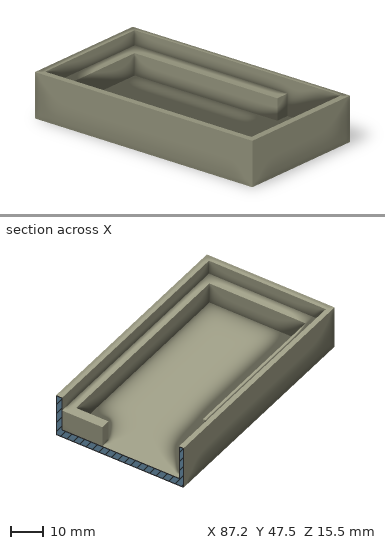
import cadquery as cq

LENGTH = 87.25
WIDTH = 47.5
HEIGHT = 15.5

WALL = 2.3
BACK_WALL = 1.75
FLOOR = 3.0

LEDGE_HEIGHT = 7.5
LEFT_LEDGE_WIDTH = 4.0
BACK_LEDGE_WIDTH = 4.9
BACK_LEDGE_LENGTH = 61.25
FRONT_LEDGE_WIDTH = 2.9

FINGER_WIDTH = 3.5
FINGER_LENGTH = 14.9
FINGER_GAP = 0.9

INNER_LEFT = WALL
INNER_RIGHT = LENGTH - WALL
INNER_FRONT = WALL
INNER_BACK = WIDTH - BACK_WALL


def make_tray():
    """Open-topped rectangular tray with a flat floor."""
    body = cq.Workplane("XY").box(LENGTH, WIDTH, HEIGHT, centered=False)
    cavity = (
        cq.Workplane("XY")
        .box(INNER_RIGHT - INNER_LEFT, INNER_BACK - INNER_FRONT, HEIGHT - FLOOR, centered=False)
        .translate((INNER_LEFT, INNER_FRONT, FLOOR))
    )
    return body.cut(cavity)


def make_ledge():
    """One level ledge along the back, left and front walls, ending in the finger.

    It starts at the underside of the floor so that it merges with the tray.
    """
    finger_right = INNER_RIGHT - FINGER_GAP
    finger_left = finger_right - FINGER_WIDTH
    back_ledge_end = INNER_LEFT + BACK_LEDGE_LENGTH
    back_ledge_face = INNER_BACK - BACK_LEDGE_WIDTH
    left_ledge_face = INNER_LEFT + LEFT_LEDGE_WIDTH
    front_ledge_face = INNER_FRONT + FRONT_LEDGE_WIDTH
    finger_tip = INNER_FRONT + FINGER_LENGTH
    outline = [
        (INNER_LEFT, INNER_FRONT),
        (finger_right, INNER_FRONT),
        (finger_right, finger_tip),
        (finger_left, finger_tip),
        (finger_left, front_ledge_face),
        (left_ledge_face, front_ledge_face),
        (left_ledge_face, back_ledge_face),
        (back_ledge_end, back_ledge_face),
        (back_ledge_end, INNER_BACK),
        (INNER_LEFT, INNER_BACK),
    ]
    return cq.Workplane("XY").polyline(outline).close().extrude(FLOOR + LEDGE_HEIGHT)


result = make_tray().union(make_ledge())